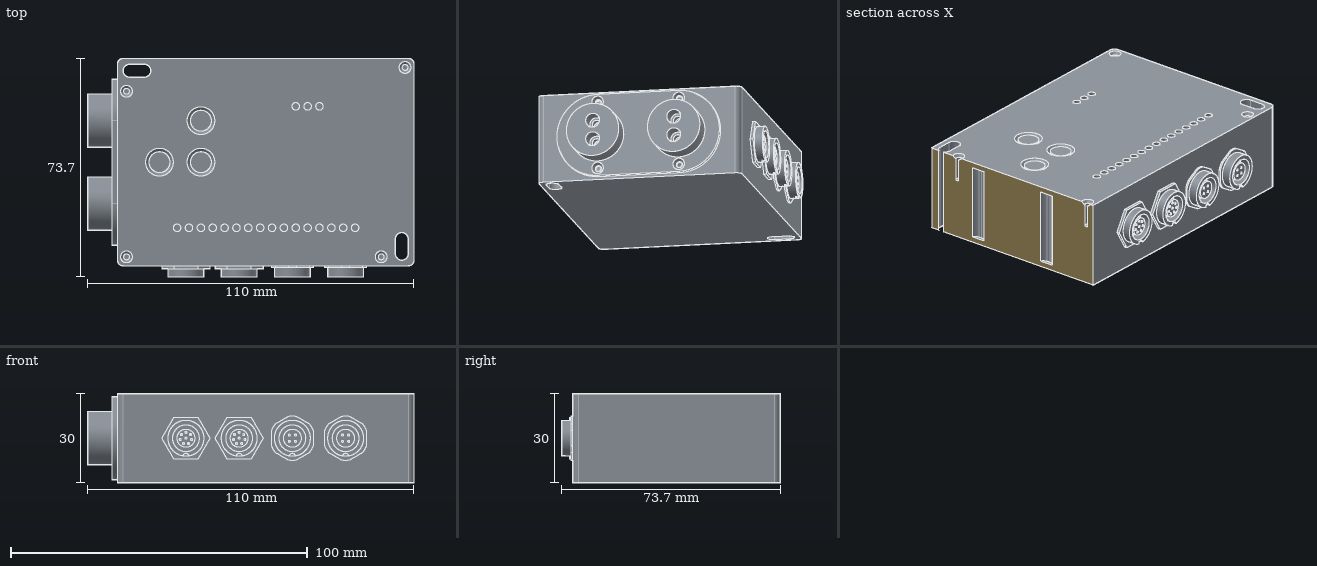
import cadquery as cq
import math

TOTAL_LENGTH = 110.0
HOUSING_LENGTH = 100.0
HOUSING_WIDTH = 70.0
HOUSING_HEIGHT = 30.0
CORNER_RADIUS = 2.0
HOUSING_LEFT = TOTAL_LENGTH - HOUSING_LENGTH
MIDDLE_Y = HOUSING_WIDTH / 2
MIDDLE_Z = HOUSING_HEIGHT / 2

HALF_PLUG_SPACING = 14.0

FLANGE_DIAMETER = 28.0
FLANGE_THICKNESS = 1.9
PLUG_DIAMETER = 18.0
CONTACT_OFFSET = 3.2
CONTACT_MOUTH_DIAMETER = 4.7
CONTACT_MOUTH_DEPTH = 6.6
CONTACT_DIAMETER = 3.0
FLANGE_SCREW_OFFSET = 11.4
PLUG_YS = [MIDDLE_Y - HALF_PLUG_SPACING, MIDDLE_Y + HALF_PLUG_SPACING]

CHAMBER_DEPTH = 3.3
CHAMBER_WIDTH = 5.5
CHAMBER_OFFSET = 0.8
CHAMBER_HEIGHT = 25.7
CHAMBER_CORNER_RADIUS = 2.2

SCREW_HEAD_DIAMETER = 4.0
SCREW_DIAMETER = 2.0
LID_SCREW_DEPTH = 8.8
SCREW_NEAR_INSET = 3.1
SCREW_FAR_INSET = 11.1

SLOT_LENGTH = 9.2
SLOT_WIDTH = 4.3
SLOT_SIDE_INSET = 4.2
SLOT_END_INSET = 6.6

INDICATOR_DIAMETER = 2.5
INDICATOR_DEPTH = 2.2
INDICATOR_COUNT = 16
INDICATOR_ROW_START = 30.1
INDICATOR_ROW_LENGTH = 60.0
INDICATOR_PITCH = INDICATOR_ROW_LENGTH / (INDICATOR_COUNT - 1)
INDICATOR_ROW_Y = 12.9
STATUS_COUNT = 3
STATUS_FIRST_INDEX = 10
STATUS_ROW_Y = 53.8

SWITCH_DIAMETER = 7.0
SWITCH_HEIGHT = 2.2
SWITCH_TOP_RECESS = 0.4
RECESS_MOUTH_DIAMETER = 9.4
RECESS_CONE_DEPTH = 1.1
SWITCH_X = 38.2
SWITCH_PLACES = [
    (SWITCH_X, MIDDLE_Y),
    (SWITCH_X, MIDDLE_Y + HALF_PLUG_SPACING),
    (SWITCH_X - HALF_PLUG_SPACING, MIDDLE_Y),
]
SWITCH_TOP_Z = HOUSING_HEIGHT - SWITCH_TOP_RECESS
SWITCH_BOTTOM_Z = SWITCH_TOP_Z - SWITCH_HEIGHT

SOCKET_FIRST_X = 33.1
SOCKET_PITCH = 17.9
SOCKET_LENGTH = 3.7
SOCKET_DIAMETER = 12.1
SOCKET_BORE_DIAMETER = 9.0
INSERT_DIAMETER = 6.0
INSERT_RECESS = 0.7
KEY_DIAMETER = 2.0
KEY_DEPTH = 1.1
NUT_ACROSS_FLATS = 14.1
NUT_SIDES = 6
UPRIGHT_FLATS_TURN = 180 / NUT_SIDES
HEX_NUT_THICKNESS = 1.0
ROUNDED_NUT_THICKNESS = 0.5
ROUNDED_NUT_DIAMETER = 15.0
PIN_HOLE_DIAMETER = 0.7
PIN_HOLE_DEPTH = 1.6
PIN_RING_COUNT = 7
PIN_RING_RADIUS = 2.0
PIN_SQUARE_HALF = 1.05


def cylinder(diameter, length, start, direction):
    solid = cq.Solid.makeCylinder(diameter / 2, length, cq.Vector(*start), cq.Vector(*direction))
    return cq.Workplane(solid)


def countersunk_hole(start, direction, depth):
    """Cutter: a 90 degree countersink that leads into a narrow screw hole."""
    head_radius = SCREW_HEAD_DIAMETER / 2
    screw_radius = SCREW_DIAMETER / 2
    cone_depth = head_radius - screw_radius
    head = cq.Solid.makeCone(head_radius, screw_radius, cone_depth, cq.Vector(*start), cq.Vector(*direction))
    return cylinder(SCREW_DIAMETER, depth, start, direction).union(cq.Workplane(head))


def housing_block():
    return (
        cq.Workplane("XY")
        .box(HOUSING_LENGTH, HOUSING_WIDTH, HOUSING_HEIGHT, centered=False)
        .translate((HOUSING_LEFT, 0, 0))
        .edges("|Z")
        .fillet(CORNER_RADIUS)
    )


def add_plugs(body):
    """Add the oblong flange and its two plugs, then the contact holes, screw holes and chambers."""
    flange_length = 2 * HALF_PLUG_SPACING + FLANGE_DIAMETER
    flange = (
        cq.Workplane("YZ", origin=(HOUSING_LEFT - FLANGE_THICKNESS, MIDDLE_Y, MIDDLE_Z))
        .slot2D(flange_length, FLANGE_DIAMETER)
        .extrude(FLANGE_THICKNESS)
    )
    body = body.union(flange)
    for y in PLUG_YS:
        body = body.union(cylinder(PLUG_DIAMETER, HOUSING_LEFT, (0, y, MIDDLE_Z), (1, 0, 0)))
    for y, away_from_middle in zip(PLUG_YS, (-1, 1)):
        chamber = (
            cq.Workplane("XY")
            .box(CHAMBER_DEPTH, CHAMBER_WIDTH, CHAMBER_HEIGHT, centered=(False, True, True))
            .edges("|Z and >X")
            .fillet(CHAMBER_CORNER_RADIUS)
            .translate((HOUSING_LEFT, y + away_from_middle * CHAMBER_OFFSET, MIDDLE_Z))
        )
        body = body.cut(chamber)
        for side in (-1, 1):
            contact_start = (0, y, MIDDLE_Z + side * CONTACT_OFFSET)
            body = body.cut(cylinder(CONTACT_MOUTH_DIAMETER, CONTACT_MOUTH_DEPTH, contact_start, (1, 0, 0)))
            body = body.cut(cylinder(CONTACT_DIAMETER, HOUSING_LEFT, contact_start, (1, 0, 0)))
            screw_start = (HOUSING_LEFT - FLANGE_THICKNESS, y, MIDDLE_Z + side * FLANGE_SCREW_OFFSET)
            body = body.cut(countersunk_hole(screw_start, (1, 0, 0), FLANGE_THICKNESS))
    return body


def cut_lid_screws(body):
    places = [
        (HOUSING_LEFT + SCREW_NEAR_INSET, SCREW_NEAR_INSET),
        (HOUSING_LEFT + SCREW_NEAR_INSET, HOUSING_WIDTH - SCREW_FAR_INSET),
        (TOTAL_LENGTH - SCREW_FAR_INSET, SCREW_NEAR_INSET),
        (TOTAL_LENGTH - SCREW_NEAR_INSET, HOUSING_WIDTH - SCREW_NEAR_INSET),
    ]
    for x, y in places:
        body = body.cut(countersunk_hole((x, y, HOUSING_HEIGHT), (0, 0, -1), LID_SCREW_DEPTH))
    return body


def cut_mounting_slots(body):
    places = [
        (HOUSING_LEFT + SLOT_END_INSET, HOUSING_WIDTH - SLOT_SIDE_INSET, 0),
        (TOTAL_LENGTH - SLOT_SIDE_INSET, SLOT_END_INSET, 90),
    ]
    for x, y, angle in places:
        slot = (
            cq.Workplane("XY", origin=(x, y, 0))
            .slot2D(SLOT_LENGTH, SLOT_WIDTH, angle)
            .extrude(HOUSING_HEIGHT)
        )
        body = body.cut(slot)
    return body


def cut_indicators(body):
    row = [(i, INDICATOR_ROW_Y) for i in range(INDICATOR_COUNT)]
    status = [(STATUS_FIRST_INDEX + i, STATUS_ROW_Y) for i in range(STATUS_COUNT)]
    for index, y in row + status:
        start = (INDICATOR_ROW_START + index * INDICATOR_PITCH, y, HOUSING_HEIGHT)
        body = body.cut(cylinder(INDICATOR_DIAMETER, INDICATOR_DEPTH, start, (0, 0, -1)))
    return body


def cut_switch_recesses(body):
    """Each recess is a conical mouth above a round pocket that fits the switch."""
    for x, y in SWITCH_PLACES:
        mouth = cq.Solid.makeCone(
            RECESS_MOUTH_DIAMETER / 2,
            SWITCH_DIAMETER / 2,
            RECESS_CONE_DEPTH,
            cq.Vector(x, y, HOUSING_HEIGHT),
            cq.Vector(0, 0, -1),
        )
        pocket_height = HOUSING_HEIGHT - SWITCH_BOTTOM_Z
        body = body.cut(cq.Workplane(mouth))
        body = body.cut(cylinder(SWITCH_DIAMETER, pocket_height, (x, y, SWITCH_BOTTOM_Z), (0, 0, 1)))
    return body


def hex_nut(thickness, turn):
    """A hexagonal plate on the plane y = 0, turned by `turn` degrees about the socket axis."""
    across_corners = NUT_ACROSS_FLATS / math.cos(math.pi / NUT_SIDES)
    return (
        cq.Workplane("XZ")
        .polygon(NUT_SIDES, across_corners)
        .extrude(thickness)
        .rotate((0, 0, 0), (0, 1, 0), turn)
    )


def rounded_nut():
    """A hexagon with upright flats whose corners are turned down to a circle."""
    disc = cylinder(ROUNDED_NUT_DIAMETER, ROUNDED_NUT_THICKNESS, (0, 0, 0), (0, -1, 0))
    return hex_nut(ROUNDED_NUT_THICKNESS, UPRIGHT_FLATS_TURN).intersect(disc)


def socket(nut, pin_places):
    """The keyed sleeve with its nut, and the central insert, both pointing along -Y from y = 0."""
    outward = (0, -1, 0)
    inward = (0, 1, 0)
    insert_length = SOCKET_LENGTH - INSERT_RECESS
    sleeve = cylinder(SOCKET_DIAMETER, SOCKET_LENGTH, (0, 0, 0), outward)
    shell = nut.union(sleeve).cut(cylinder(SOCKET_BORE_DIAMETER, SOCKET_LENGTH, (0, 0, 0), outward))
    shell = shell.cut(cylinder(KEY_DIAMETER, KEY_DEPTH, (0, -SOCKET_LENGTH, -SOCKET_DIAMETER / 2), inward))
    insert = cylinder(INSERT_DIAMETER, insert_length, (0, 0, 0), outward)
    for x, z in pin_places:
        insert = insert.cut(cylinder(PIN_HOLE_DIAMETER, PIN_HOLE_DEPTH, (x, -insert_length, z), inward))
    return shell, insert


def add_sockets(body):
    """Two eight-pole sockets with hexagonal nuts, then two four-pole sockets with rounded nuts."""
    ring_angles = [2 * math.pi * i / PIN_RING_COUNT for i in range(PIN_RING_COUNT)]
    eight_poles = [(PIN_RING_RADIUS * math.sin(a), PIN_RING_RADIUS * math.cos(a)) for a in ring_angles]
    eight_poles.append((0, 0))
    four_poles = [(sx * PIN_SQUARE_HALF, sz * PIN_SQUARE_HALF) for sx in (-1, 1) for sz in (-1, 1)]
    eight_pole_socket = socket(hex_nut(HEX_NUT_THICKNESS, 0), eight_poles)
    four_pole_socket = socket(rounded_nut(), four_poles)
    sockets = [eight_pole_socket, eight_pole_socket, four_pole_socket, four_pole_socket]
    for index, parts in enumerate(sockets):
        for part in parts:
            body = body.union(part.translate((SOCKET_FIRST_X + index * SOCKET_PITCH, 0, MIDDLE_Z)))
    return body


def make_housing():
    body = add_plugs(housing_block())
    body = cut_lid_screws(body)
    body = cut_mounting_slots(body)
    body = cut_indicators(body)
    body = cut_switch_recesses(body)
    return add_sockets(body)


def make_switch(x, y):
    return cylinder(SWITCH_DIAMETER, SWITCH_HEIGHT, (x, y, SWITCH_BOTTOM_Z), (0, 0, 1))


housing = make_housing()
switches = [make_switch(x, y) for x, y in SWITCH_PLACES]

result = cq.Compound.makeCompound([housing.val(), *[switch.val() for switch in switches]])